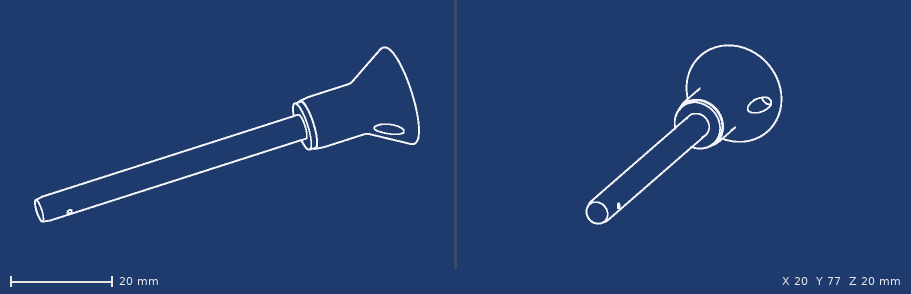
import cadquery as cq
import math


shank_radius = 2.5
shank_length = 56.0
tip_length = 1.5
tip_radius = 2.25

ball_radius = 0.65
ball_protrusion = 0.2
ball_from_tip = 5.45

handle_length = 21.0
collar_radius = 4.8
collar_length = 1.2
grip_radius = 5.2
grip_end_radius = 5.0
grip_taper_length = 1.7
flare_radius = 10.0
flare_length = 8.85
rim_radius = 0.5
neck_fillet = 2.0

lanyard_hole_diameter = 3.0
lanyard_hole_x = 7.2


def make_shank():
    """Round shank with a tapered tip, starting inside the handle."""
    profile = (
        cq.Workplane("XY")
        .moveTo(0, -shank_length)
        .lineTo(tip_radius, -shank_length)
        .lineTo(shank_radius, tip_length - shank_length)
        .lineTo(shank_radius, collar_length)
        .lineTo(0, collar_length)
        .close()
    )
    return profile.revolve(360, (0, 0, 0), (0, 1, 0))


def make_handle():
    """Collar, grip and flare, with a rounded neck and a full-round rim."""
    grip_start = collar_length + grip_taper_length
    flare_start = handle_length - flare_length
    rim_center_x = flare_radius - rim_radius
    rim_center_y = handle_length - rim_radius

    run = rim_center_x - grip_radius
    rise = rim_center_y - flare_start
    slope = math.atan2(rise, run) - math.asin(rim_radius / math.hypot(run, rise))

    def rim_point(angle):
        """Point on the rim circle, with the angle in radians from the X axis."""
        return (
            rim_center_x + rim_radius * math.cos(angle),
            rim_center_y + rim_radius * math.sin(angle),
        )

    tangent_angle = slope - math.pi / 2

    profile = (
        cq.Workplane("XY")
        .moveTo(0, 0)
        .lineTo(collar_radius, 0)
        .lineTo(collar_radius, collar_length)
        .lineTo(grip_end_radius, collar_length)
        .lineTo(grip_radius, grip_start)
        .lineTo(grip_radius, flare_start)
        .lineTo(*rim_point(tangent_angle))
        .threePointArc(rim_point(tangent_angle / 2), rim_point(0))
        .threePointArc(rim_point(math.pi / 4), rim_point(math.pi / 2))
        .lineTo(0, handle_length)
        .close()
    )
    handle = profile.revolve(360, (0, 0, 0), (0, 1, 0))
    tolerance = 0.01
    reach = grip_radius + tolerance
    neck_edge = cq.selectors.BoxSelector(
        (-reach, flare_start - tolerance, -reach),
        (reach, flare_start + tolerance, reach),
        boundingbox=True,
    )
    return handle.edges(neck_edge).fillet(neck_fillet)


def make_ball(side):
    """Locking ball on the +X (side = 1) or -X (side = -1) flank of the shank."""
    center_x = side * (shank_radius + ball_protrusion - ball_radius)
    center_y = ball_from_tip - shank_length
    return cq.Workplane("XY").sphere(ball_radius).translate((center_x, center_y, 0))


def make_lanyard_hole():
    """Cutter for the hole through the flare, parallel to the pin axis."""
    return (
        cq.Workplane("XZ")
        .center(lanyard_hole_x, 0)
        .circle(lanyard_hole_diameter / 2)
        .extrude(-handle_length)
    )


result = make_handle().cut(make_lanyard_hole()).union(make_shank())
for ball_side in (-1, 1):
    result = result.union(make_ball(ball_side))